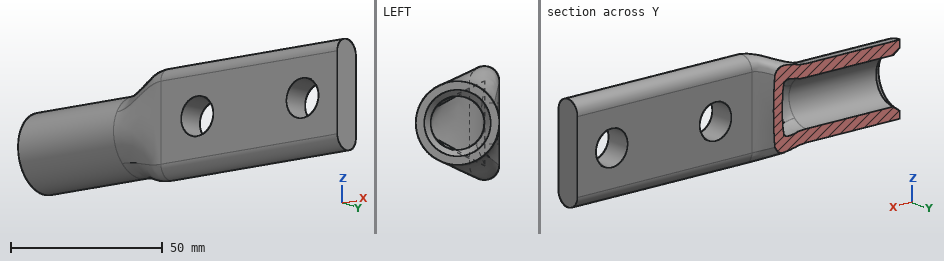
import cadquery as cq
import math

total_length = 134.92
barrel_diameter = 27.56
barrel_length = 40.3
neck_length = 20.0
wall = 4.95
barrel_radius = barrel_diameter / 2

pad_width = 37.6
pad_flat_width = 28.0
pad_thickness = 2 * wall
pad_start = barrel_length + neck_length
pad_length = total_length - pad_start
pad_middle = pad_thickness / 2 - barrel_radius
pad_back = pad_middle + pad_thickness / 2

bolt_hole_count = 2
bolt_hole_diameter = 13.5
bolt_hole_spacing = 44.45
first_bolt_hole_x = 75.75

bore_radius = barrel_radius - wall
mouth_diameter = 21.9
mouth_depth = 2.9
slit_thickness = 0.2
slit_width = pad_flat_width

front_upper_seam = 29.0
front_lower_seam = 48.0
back_seam = 35.0
neck_section_count = 9


def circle_outline(radius):
    """Corners and mid-side points (y, z) on a circle, from the upper front corner round."""
    front_middle = 180 + (front_lower_seam - front_upper_seam) / 2
    angles = (
        180 - front_upper_seam, front_middle, 180 + front_lower_seam, 270,
        360 - back_seam, 360, 360 + back_seam, 450,
    )
    return [
        (radius * math.cos(math.radians(angle)), radius * math.sin(math.radians(angle)))
        for angle in angles
    ]


def flat_outline(width, flat_width, thickness):
    """Matching points (y, z) on a flat bar with rounded edges, centered in the pad thickness."""
    front = pad_middle - thickness / 2
    back = pad_middle + thickness / 2
    corner = flat_width / 2
    tip = width / 2
    return [
        (front, corner), (front, 0), (front, -corner), (pad_middle, -tip),
        (back, -corner), (back, 0), (back, corner), (pad_middle, tip),
    ]


def section_wire(x, outline, flat_sides=False):
    """Closed four-sided wire; its front and back are straight when flat_sides is set."""
    points = [cq.Vector(x, y, z) for y, z in outline]
    edges = []
    for side in range(len(points) // 2):
        first = points[2 * side]
        middle = points[2 * side + 1]
        last = points[(2 * side + 2) % len(points)]
        if flat_sides and side % 2 == 0:
            edges.append(cq.Edge.makeLine(first, last))
        else:
            edges.append(cq.Edge.makeThreePointArc(first, middle, last))
    return cq.Wire.assembleEdges(edges)


def flattening_loft(round_outline, pressed_outline):
    """Loft over the neck length that eases from a round outline into a flat one."""
    sections = []
    for index in range(neck_section_count):
        travel = index / (neck_section_count - 1)
        blend = travel ** 2 * (3 - 2 * travel)
        outline = [
            (y0 + blend * (y1 - y0), z0 + blend * (z1 - z0))
            for (y0, z0), (y1, z1) in zip(round_outline, pressed_outline)
        ]
        is_flat = index == neck_section_count - 1
        sections.append(section_wire(barrel_length + travel * neck_length, outline, is_flat))
    return cq.Workplane(obj=cq.Solid.makeLoft(sections))


def make_body():
    """Solid barrel, neck and pad."""
    pad_outline = flat_outline(pad_width, pad_flat_width, pad_thickness)
    pad_wire = section_wire(pad_start, pad_outline, flat_sides=True)
    barrel = cq.Workplane("YZ").circle(barrel_radius).extrude(barrel_length)
    neck = flattening_loft(circle_outline(barrel_radius), pad_outline)
    pad = cq.Workplane(obj=cq.Solid.extrudeLinear(pad_wire, [], cq.Vector(pad_length, 0, 0)))
    return barrel.union(neck).union(pad)


def make_socket():
    """Tapered mouth, straight bore and the flattened cavity inside the neck."""
    slit_outline = flat_outline(slit_width, slit_width - slit_thickness, slit_thickness)
    mouth = (
        cq.Workplane("YZ").circle(mouth_diameter / 2)
        .workplane(offset=mouth_depth).circle(bore_radius).loft()
    )
    bore = cq.Workplane("YZ").circle(bore_radius).extrude(barrel_length)
    cavity = flattening_loft(circle_outline(bore_radius), slit_outline)
    return bore.union(mouth).union(cavity)


def make_bolt_holes():
    """Row of round holes along the middle of the pad."""
    centers = [(first_bolt_hole_x + i * bolt_hole_spacing, 0) for i in range(bolt_hole_count)]
    return (
        cq.Workplane("XZ", origin=(0, pad_back, 0)).pushPoints(centers)
        .circle(bolt_hole_diameter / 2).extrude(pad_thickness)
    )


result = make_body().cut(make_socket()).cut(make_bolt_holes())